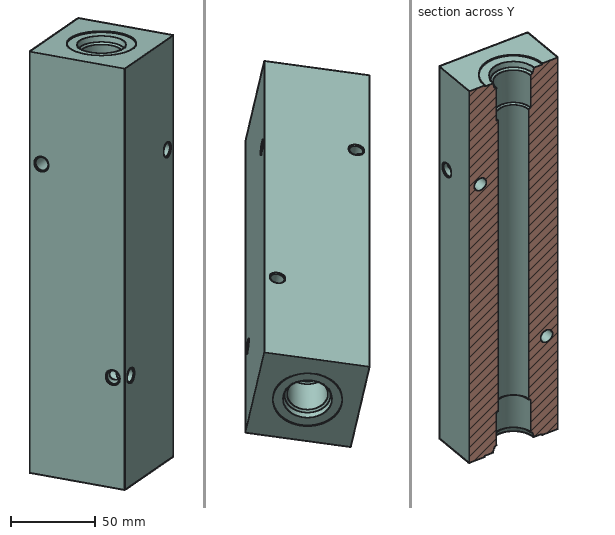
import cadquery as cq
import math

width = 63.5
height = 266.7
edge_chamfer = 0.32

bore_diameter = 21.5
spotface_diameter = 41.0
spotface_depth = 0.8
port_mouth_diameter = 29.0
seal_seat_diameter = 27.2
seal_seat_depth = 3.5
thread_diameter = 24.3
thread_lead_in = 1.0
thread_bottom_depth = 27.7
drill_point_angle = 118

cross_hole_diameter = 8.3
cross_hole_mouth_diameter = 9.5
cross_hole_offset = 23.7
cross_hole_spacing = 127.0


def end_port():
    """Port cavity at the top end: spotface, tapered seal seat, thread bore and drill point."""
    step_width = (thread_diameter - bore_diameter) / 2
    drill_point_depth = step_width / math.tan(math.radians(drill_point_angle / 2))
    spotface_level = height - spotface_depth
    seat_level = spotface_level - seal_seat_depth
    thread_top = seat_level - thread_lead_in
    thread_bottom = spotface_level - thread_bottom_depth
    bore_top = thread_bottom - drill_point_depth
    profile = [
        (0, height),
        (spotface_diameter / 2, height),
        (spotface_diameter / 2, spotface_level),
        (port_mouth_diameter / 2, spotface_level),
        (seal_seat_diameter / 2, seat_level),
        (thread_diameter / 2, thread_top),
        (thread_diameter / 2, thread_bottom),
        (bore_diameter / 2, bore_top),
        (0, bore_top),
    ]
    return cq.Workplane("YZ").polyline(profile).close().revolve(360, (0, 0, 0), (0, 1, 0))


def cross_hole():
    """Hole along Y through the block, with a 45 degree chamfer at both mouths."""
    hole_radius = cross_hole_diameter / 2
    mouth_radius = cross_hole_mouth_diameter / 2
    face = width / 2
    chamfer_end = face - (mouth_radius - hole_radius)
    profile = [
        (0, -face),
        (mouth_radius, -face),
        (hole_radius, -chamfer_end),
        (hole_radius, chamfer_end),
        (mouth_radius, face),
        (0, face),
    ]
    return cq.Workplane("XY").polyline(profile).close().revolve(360, (0, 0, 0), (0, 1, 0))


block = cq.Workplane("XY").box(width, width, height, centered=(True, True, False))
block = block.edges("|Z").chamfer(edge_chamfer)

bore = cq.Workplane("XY").circle(bore_diameter / 2).extrude(height)
top_port = end_port()
bottom_port = top_port.mirror("XY", (0, 0, height / 2))
result = block.cut(bore).cut(top_port).cut(bottom_port)

hole_along_y = cross_hole()
hole_along_x = hole_along_y.rotate((0, 0, 0), (0, 0, 1), 90)
for side in (-1, 1):
    level = height / 2 - side * cross_hole_spacing / 2
    offset = side * cross_hole_offset
    result = result.cut(hole_along_y.translate((offset, 0, level)))
    result = result.cut(hole_along_x.translate((0, -offset, level)))